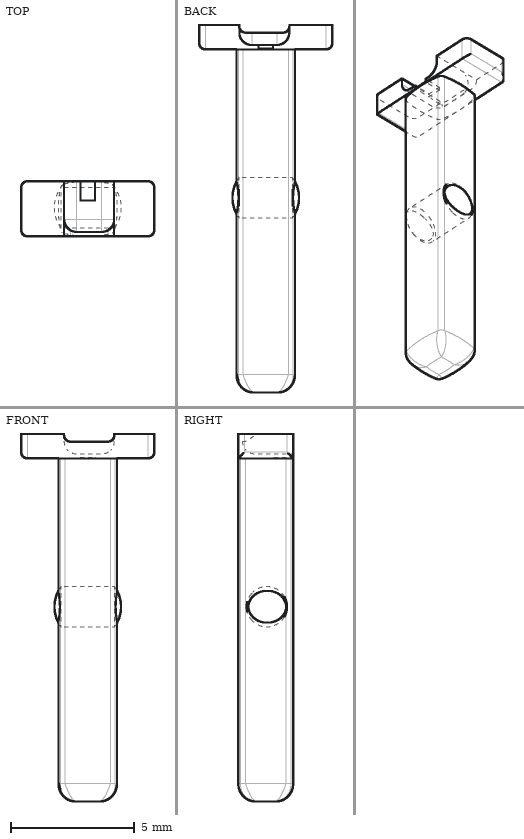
import cadquery as cq
import math

total_height = 14.9
thickness = 2.24

head_length = 5.4
head_height = 1.0
head_round = 0.25
head_bottom = total_height - head_height

saddle_center_x = 0.06
saddle_width = 2.03
lip_depth = 0.31
lip_round = 0.25
trough_round = 0.5
trough_depth = lip_depth + trough_round
trough_front_wall = 0.18

notch_width = 0.6
notch_length = 0.77
notch_depth = 0.15

shank_width = 2.38
face_radius = 4.17
shank_edge_round = 0.25
foot_round = 0.73

pin_length = 2.71
pin_radius = 0.82
pin_end_radius = pin_length / 2
pin_height = 7.9
pin_offset_y = 0.05


def make_head():
    """Bar with rounded vertical edges and rounded lower ends."""
    plan = (
        cq.Workplane("XY", origin=(0, 0, head_bottom))
        .rect(head_length, thickness)
        .extrude(head_height)
        .edges("|Z")
        .fillet(head_round)
    )
    side = (
        cq.Workplane("XY", origin=(0, 0, head_bottom))
        .rect(head_length, thickness)
        .extrude(head_height)
        .edges("|Y and <Z")
        .fillet(head_round)
    )
    return plan.intersect(side)


def shank_corner():
    """Sharp corner where the side-face arc meets the front-face arc."""
    side_center_x = shank_width / 2 - face_radius
    front_center_y = thickness / 2 - face_radius
    half_gap = math.hypot(side_center_x, front_center_y) / 2
    reach = math.sqrt(face_radius**2 - half_gap**2)
    corner_x = side_center_x / 2 - reach * front_center_y / (2 * half_gap)
    corner_y = front_center_y / 2 - reach * side_center_x / (2 * half_gap)
    return corner_x, corner_y


def make_shank():
    """Column with four bulging faces, rounded at the foot and along its edges."""
    half_x = shank_width / 2
    half_y = thickness / 2
    corner_x, corner_y = shank_corner()
    column = (
        cq.Workplane("XY")
        .moveTo(-corner_x, -corner_y)
        .threePointArc((0, -half_y), (corner_x, -corner_y))
        .threePointArc((half_x, 0), (corner_x, corner_y))
        .threePointArc((0, half_y), (-corner_x, corner_y))
        .threePointArc((-half_x, 0), (-corner_x, -corner_y))
        .close()
        .extrude(head_bottom)
    )
    column = column.edges("|Z").fillet(shank_edge_round)
    return column.faces("<Z").edges().fillet(foot_round)


def make_lip_cut():
    """Shallow rounded channel through the whole thickness of the head."""
    return (
        cq.Workplane("XY", origin=(saddle_center_x, 0, total_height - lip_depth))
        .rect(saddle_width, thickness)
        .extrude(lip_depth)
        .edges("|Y and <Z")
        .fillet(lip_round)
    )


def make_trough_cut():
    """Deep trough, closed by a rounded wall at the front and open at the back."""
    front_y = trough_front_wall - thickness / 2
    length = thickness - trough_front_wall
    return (
        cq.Workplane("XY", origin=(saddle_center_x, front_y + length / 2, total_height - trough_depth))
        .rect(saddle_width, length)
        .extrude(trough_depth)
        .edges("(|Z and <Y) or (<Z and (not >Y))")
        .fillet(trough_round)
    )


def make_notch_cut():
    """Small rectangular notch below the trough floor."""
    notch_bottom = total_height - trough_depth - notch_depth
    return (
        cq.Workplane("XY", origin=(0, (thickness - notch_length) / 2, notch_bottom))
        .rect(notch_width, notch_length)
        .extrude(trough_depth + notch_depth)
    )


def make_pin():
    """Round pin along X whose ends belong to one sphere about its centre."""
    rim_x = math.sqrt(pin_end_radius**2 - pin_radius**2)
    mid_angle = math.asin(pin_radius / pin_end_radius) / 2
    dome_x = pin_end_radius * math.cos(mid_angle)
    dome_y = pin_end_radius * math.sin(mid_angle)
    return (
        cq.Workplane("XY")
        .moveTo(-pin_end_radius, 0)
        .threePointArc((-dome_x, dome_y), (-rim_x, pin_radius))
        .lineTo(rim_x, pin_radius)
        .threePointArc((dome_x, dome_y), (pin_end_radius, 0))
        .close()
        .revolve(360, (0, 0, 0), (1, 0, 0))
        .translate((0, pin_offset_y, pin_height))
    )


pin = make_pin()
holder = (
    make_shank()
    .union(make_head())
    .cut(make_lip_cut())
    .cut(make_trough_cut())
    .cut(make_notch_cut())
    .cut(pin)
)

result = cq.Compound.makeCompound([holder.solids().val(), pin.val()])